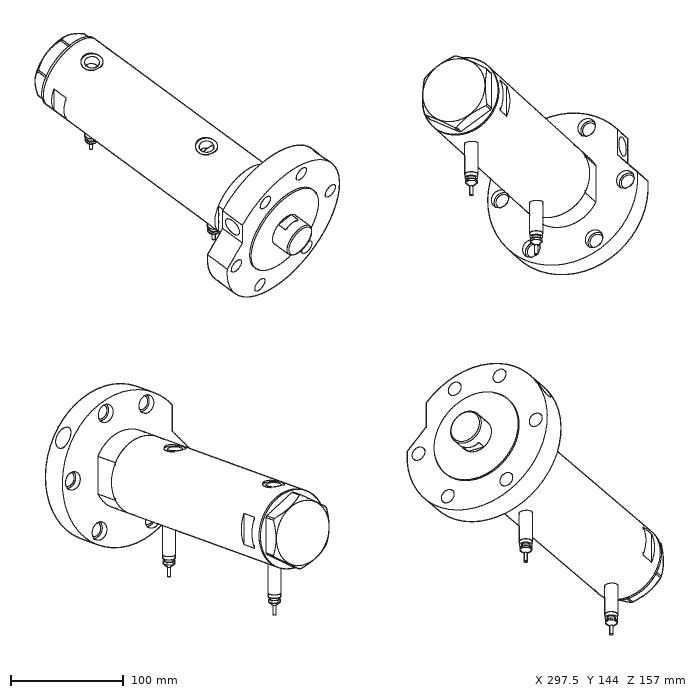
import cadquery as cq
import math

collar_x = 14.5
barrel_start_x = 16.7
barrel_end_x = 227.3
flange_x = 252.3
pilot_x = 276.7
pilot_end_x = 278.5
rod_flats_end_x = 287.0
rod_end_x = 297.5
plug_end_x = 42.5
cushion_end_x = 72.3
gland_start_x = 182.5

barrel_radius = 36.3
bore_radius = 25.5
gland_seat_radius = 31.5
wrench_flats_x = 26.8
wrench_flats_length = 15.2
wrench_flats_half_width = 33.3
port_stations = (41.6, 182.5)
port_radius = 6.5
spotface_radius = 9.8
spotface_z = 34.8

hex_across_flats = 60.0
hex_corner_radius = 34.2
hex_face_radius = 29.8
hex_chamfer_length = 4.0

gland_half_width = 31.8

flange_radius = 72.0
pilot_radius = 43.0
notch_y = -52.5
notch_corner_z = 25.0
bolt_circle_radius = 60.0
bolt_angles = (0, 67.5, 112.5, 180, 240, 300)
bolt_hole_radius = 6.5
counterbore_radius = 8.3
counterbore_depth = 6.5
cross_hole_radius = 8.5
cross_hole_x = (flange_x + pilot_x) / 2
cross_hole_z = 37.2

rod_radius = 15.8
cushion_radius = 20.5
rod_across_flats = 27.0
rod_chamfer = 1.2

sensor_stations = (40.5, 191.0)
sensor_radius = 6.0
sensor_seat_z = -32.7
sensor_rim_z = -65.2
sensor_end_z = -68.5
sensor_rim_inset = 0.3
sensor_neck_radius = 4.0
nut_top_z = -70.8
nut_across_flats = 9.2
nut_bottom_z = -73.2
cone_radius = 5.5
cone_end_z = -76.5
cable_radius = 1.5
cable_end_z = -85.0


def cylinder_x(radius, start, end):
    """Solid cylinder on the X axis between two stations."""
    return cq.Workplane("YZ").workplane(offset=start).circle(radius).extrude(end - start)


def cylinder_z(radius, x, bottom, top):
    """Solid vertical cylinder standing at station x."""
    return cq.Workplane("XY").workplane(offset=bottom).center(x, 0).circle(radius).extrude(top - bottom)


def slab_x(start, end, half_width):
    """Slab centred on the axis, limited in Y only, used to cut flats on round parts."""
    length = end - start
    return cq.Workplane("XY").box(length, 2 * half_width, 4 * barrel_radius).translate((start + length / 2, 0, 0))


def make_barrel():
    body = cylinder_x(barrel_radius, barrel_start_x, barrel_end_x)
    body = body.cut(cylinder_x(bore_radius, barrel_start_x, barrel_end_x))
    body = body.cut(cylinder_x(gland_seat_radius, gland_start_x, barrel_end_x))
    flats_end = wrench_flats_x + wrench_flats_length
    ring = cylinder_x(2 * barrel_radius, wrench_flats_x, flats_end)
    body = body.cut(ring.cut(slab_x(wrench_flats_x, flats_end, wrench_flats_half_width)))
    for x in port_stations:
        body = body.cut(cylinder_z(port_radius, x, 0, barrel_radius))
        body = body.cut(cylinder_z(spotface_radius, x, spotface_z, barrel_radius))
    for x in sensor_stations:
        body = body.cut(cylinder_z(sensor_radius, x, -barrel_radius, sensor_seat_z))
    return body


def make_cap():
    """Hexagonal head with turned corners, a collar against the barrel and a plug in the bore."""
    corner_diameter = hex_across_flats / math.cos(math.pi / 6)
    head = (
        cq.Workplane("YZ")
        .polygon(6, corner_diameter)
        .extrude(collar_x)
        .rotate((0, 0, 0), (1, 0, 0), 90)
    )
    turned_blank = (
        cq.Workplane("XY")
        .moveTo(0, 0)
        .lineTo(0, hex_face_radius)
        .lineTo(hex_chamfer_length, hex_corner_radius)
        .lineTo(collar_x, hex_corner_radius)
        .lineTo(collar_x, 0)
        .close()
        .revolve(360, (0, 0, 0), (1, 0, 0))
    )
    collar = cylinder_x(barrel_radius, collar_x, barrel_start_x)
    plug = cylinder_x(bore_radius, barrel_start_x, plug_end_x)
    return head.intersect(turned_blank).union(collar).union(plug)


def make_gland():
    """Rod guide: a spigot in the barrel seat and a neck with two flats in front of the flange."""
    spigot = cylinder_x(gland_seat_radius, gland_start_x, barrel_end_x)
    neck = cylinder_x(barrel_radius, barrel_end_x, flange_x)
    neck = neck.intersect(slab_x(barrel_end_x, flange_x, gland_half_width))
    return spigot.union(neck).cut(cylinder_x(rod_radius, gland_start_x, flange_x))


def make_flange():
    plate = cylinder_x(flange_radius, flange_x, pilot_x)
    notch_reach = flange_radius
    notch = (
        cq.Workplane("YZ")
        .workplane(offset=flange_x)
        .moveTo(notch_y, notch_corner_z)
        .lineTo(notch_y, notch_corner_z + notch_reach)
        .lineTo(notch_y - notch_reach, notch_corner_z + notch_reach)
        .lineTo(notch_y - notch_reach, notch_corner_z - notch_reach)
        .close()
        .extrude(pilot_x - flange_x)
    )
    plate = plate.cut(notch)
    cross_hole = (
        cq.Workplane("XZ")
        .center(cross_hole_x, cross_hole_z)
        .circle(cross_hole_radius)
        .extrude(flange_radius, both=True)
    )
    plate = plate.cut(cross_hole)
    for angle in bolt_angles:
        y = bolt_circle_radius * math.cos(math.radians(angle))
        z = bolt_circle_radius * math.sin(math.radians(angle))
        hole = cylinder_x(bolt_hole_radius, flange_x, pilot_x)
        counterbore = cylinder_x(counterbore_radius, flange_x, flange_x + counterbore_depth)
        plate = plate.cut(hole.union(counterbore).translate((0, y, z)))
    pilot = cylinder_x(pilot_radius, pilot_x, pilot_end_x)
    return plate.union(pilot).cut(cylinder_x(rod_radius, flange_x, pilot_end_x))


def make_rod():
    """Round rod with a thicker rear cushion, a chamfered end and two flats just outside the pilot."""
    rod = cylinder_x(rod_radius, plug_end_x, rod_end_x).faces(">X").chamfer(rod_chamfer)
    rod = rod.union(cylinder_x(cushion_radius, plug_end_x, cushion_end_x))
    flats_length = rod_flats_end_x - pilot_end_x
    for side in (-1, 1):
        cutter = cq.Workplane("XY").box(flats_length, 2 * rod_radius, rod_radius)
        z = side * (rod_across_flats + rod_radius) / 2
        rod = rod.cut(cutter.translate((pilot_end_x + flats_length / 2, 0, z)))
    return rod


def make_sensor(x):
    """Proximity sensor: round body with a reduced rim, neck, hexagonal nut, cone and cable."""
    rim_radius = sensor_radius - sensor_rim_inset
    body = cylinder_z(sensor_radius, x, sensor_rim_z, sensor_seat_z)
    rim = cylinder_z(rim_radius, x, sensor_end_z, sensor_rim_z)
    neck = cylinder_z(sensor_neck_radius, x, nut_top_z, sensor_end_z)
    nut = (
        cq.Workplane("XY")
        .workplane(offset=nut_bottom_z)
        .center(x, 0)
        .polygon(6, nut_across_flats / math.cos(math.pi / 6))
        .extrude(nut_top_z - nut_bottom_z)
    )
    cone = cq.Workplane(
        cq.Solid.makeCone(
            cone_radius, cable_radius, nut_bottom_z - cone_end_z,
            cq.Vector(x, 0, nut_bottom_z), cq.Vector(0, 0, -1),
        )
    )
    cable = cylinder_z(cable_radius, x, cable_end_z, cone_end_z)
    return body.union(rim).union(neck).union(nut).union(cone).union(cable)


barrel = make_barrel()
cap = make_cap()
gland = make_gland()
flange = make_flange()
rod = make_rod()
sensors = [make_sensor(x).val() for x in sensor_stations]

result = cq.Compound.makeCompound([barrel.val(), cap.val(), gland.val(), flange.val(), rod.val(), *sensors])